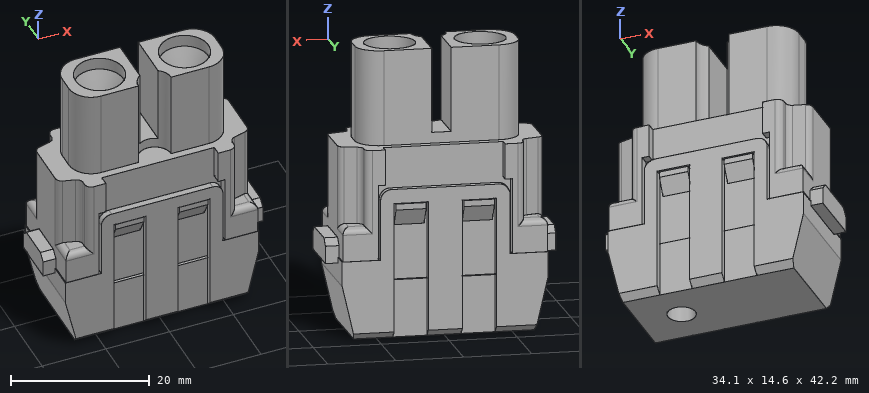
import cadquery as cq
import math

HEIGHT = 42.15
TAB_SPAN = 34.1
BASE_DEPTH = 14.6
FRONT_Y = -BASE_DEPTH / 2
EDGE = 1.0

BASE_TOP = 11.75
TAPER_TOP = 8.15
BASE_HALF_X = 15.17
FOOT_HALF_X = 13.28

BODY_HALF_X = 15.05
BODY_HALF_Y = 7.25
BODY_TOP = 28.07
LEDGE_Z = 16.75
NOTCH_X = 11.7
NOTCH_SLOPE = math.radians(15)
SIDE_FLAT_HALF = 3.3

TOWER_LENGTH = 24.03
TOWER_WIDTH = 9.3
TOWER_RADIUS = 3.55
TOWER_GAP = 2.82
GAP_FLOOR = 29.67
KEYWAY_DIAMETER = 5.1

BORE_X = 6.65
BORE_DIAMETER = 7.5
CONTACT_DIAMETER = 4.2
BORE_DEPTH = 2.0
CONE_DEPTH = 2.82

RECESS_FLOOR_Y = 5.8
RECESS_BOTTOM = 8.5
RECESS_STEP_Z = 22.85
RECESS_UPPER_WIDTH = 17.6
RECESS_LOWER_WIDTH = 19.73
PLATE_THICKNESS = EDGE
PLATE_WIDTH = 19.05
PLATE_TOP = 22.15
PLATE_RADIUS = 1.6
WINDOW_X = 5.0
WINDOW_WIDTH = 5.0
WINDOW_TOP = 20.05

CATCH_WIDTH = 4.43
CATCH_TOP = 19.95
CATCH_EDGE = 19.05
CATCH_BOTTOM = 16.55
CATCH_REACH = 1.35

TAB_BOTTOM = 10.95
TAB_TOP = 14.55
LEFT_TAB_WIDTH = 7.15
RIGHT_TAB_WIDTH = 8.95


def block(x_min, x_max, y_min, y_max, z_min, z_max):
    size = (x_max - x_min, y_max - y_min, z_max - z_min)
    return cq.Workplane("XY").box(*size, centered=False).translate((x_min, y_min, z_min))


def both_faces(front):
    """Return a front-face feature together with its copy on the back face."""
    return front.union(front.mirror("XZ"))


def make_base():
    profile = [
        (-FOOT_HALF_X, 0),
        (FOOT_HALF_X, 0),
        (BASE_HALF_X, TAPER_TOP),
        (BASE_HALF_X, BASE_TOP),
        (-BASE_HALF_X, BASE_TOP),
        (-BASE_HALF_X, TAPER_TOP),
    ]
    base = cq.Workplane("XZ").polyline(profile).close().extrude(BASE_DEPTH / 2, both=True)
    return base.faces("<Z").edges("|X").chamfer(EDGE)


def make_body_column():
    """Column whose corners are cut by S-shaped notches, built from one quarter."""
    notch_start_y = BODY_HALF_Y - EDGE
    cos_slope = math.cos(NOTCH_SLOPE)
    sin_slope = math.sin(NOTCH_SLOPE)
    cos_half = math.cos(math.pi / 4 - NOTCH_SLOPE / 2)
    sin_half = math.sin(math.pi / 4 - NOTCH_SLOPE / 2)

    side_center_x = BODY_HALF_X - EDGE
    side_end = (side_center_x + EDGE * sin_slope, SIDE_FLAT_HALF + EDGE * cos_slope)
    side_mid = (side_center_x + EDGE * cos_half, SIDE_FLAT_HALF + EDGE * sin_half)

    inner_center_x = NOTCH_X + EDGE
    slope_end_x = inner_center_x - EDGE * sin_slope
    slope_end_y = side_end[1] + (side_end[0] - slope_end_x) * math.tan(NOTCH_SLOPE)
    inner_center_y = slope_end_y + EDGE * cos_slope
    inner_mid = (inner_center_x - EDGE * cos_half, inner_center_y - EDGE * sin_half)

    front_center_x = NOTCH_X - EDGE
    diagonal = EDGE * math.sqrt(0.5)
    quarter = (
        cq.Workplane("XY")
        .workplane(offset=BASE_TOP)
        .lineTo(BODY_HALF_X, 0)
        .lineTo(BODY_HALF_X, SIDE_FLAT_HALF)
        .threePointArc(side_mid, side_end)
        .lineTo(slope_end_x, slope_end_y)
        .threePointArc(inner_mid, (NOTCH_X, inner_center_y))
        .lineTo(NOTCH_X, notch_start_y)
        .threePointArc((front_center_x + diagonal, notch_start_y + diagonal), (front_center_x, BODY_HALF_Y))
        .lineTo(0, BODY_HALF_Y)
        .close()
        .extrude(BODY_TOP - BASE_TOP)
    )
    half = quarter.union(quarter.mirror("YZ"))
    return half.union(half.mirror("XZ"))


def make_ledge():
    """Block under the corner notches, with rounded upper edges."""
    ledge = block(-BODY_HALF_X, BODY_HALF_X, -BODY_HALF_Y, BODY_HALF_Y, BASE_TOP, LEDGE_Z)
    return ledge.faces(">Z").edges().fillet(EDGE)


def make_recess():
    """Stepped recess in the front face, wider below the step."""
    lower_half = RECESS_LOWER_WIDTH / 2
    upper_half = RECESS_UPPER_WIDTH / 2
    lower = block(-lower_half, lower_half, FRONT_Y, -RECESS_FLOOR_Y, BASE_TOP, RECESS_STEP_Z)
    upper = block(-upper_half, upper_half, FRONT_Y, -RECESS_FLOOR_Y, RECESS_STEP_Z, BODY_TOP)
    return lower.union(upper)


def make_plate():
    half = PLATE_WIDTH / 2
    plate = block(-half, half, FRONT_Y, FRONT_Y + PLATE_THICKNESS, BASE_TOP, PLATE_TOP)
    return plate.edges("|Y and >Z").edges("<X or >X").fillet(PLATE_RADIUS)


def make_gap():
    """Space behind a plate, reaching down into the base."""
    half = RECESS_LOWER_WIDTH / 2
    return block(-half, half, FRONT_Y + PLATE_THICKNESS, -RECESS_FLOOR_Y, RECESS_BOTTOM, BASE_TOP)


def make_window(x):
    """Opening through the plate that runs on as a groove to the underside."""
    left = x - WINDOW_WIDTH / 2
    right = x + WINDOW_WIDTH / 2
    return block(left, right, FRONT_Y, FRONT_Y + PLATE_THICKNESS, 0, WINDOW_TOP)


def make_catch(x):
    """Wedge on the recess floor with a sloping underside."""
    tip_y = -RECESS_FLOOR_Y - CATCH_REACH
    profile = [
        (-RECESS_FLOOR_Y, CATCH_BOTTOM),
        (tip_y, CATCH_EDGE),
        (tip_y, CATCH_TOP),
        (-RECESS_FLOOR_Y, CATCH_TOP),
    ]
    wedge = cq.Workplane("YZ").polyline(profile).close().extrude(CATCH_WIDTH / 2, both=True)
    return wedge.translate((x, 0, 0))


def make_towers():
    height = HEIGHT - BODY_TOP
    towers = (
        cq.Workplane("XY")
        .workplane(offset=BODY_TOP)
        .rect(TOWER_LENGTH, TOWER_WIDTH)
        .extrude(height)
        .edges("|Z")
        .fillet(TOWER_RADIUS)
    )
    gap = block(-TOWER_GAP / 2, TOWER_GAP / 2, -TOWER_WIDTH, TOWER_WIDTH, GAP_FLOOR, HEIGHT)
    keyway = (
        cq.Workplane("XY")
        .workplane(offset=BODY_TOP)
        .center(0, -TOWER_WIDTH / 2)
        .circle(KEYWAY_DIAMETER / 2)
        .extrude(height)
    )
    return towers.cut(gap).cut(keyway)


def make_bore(x):
    """Straight counterbore ending in a cone."""
    cone_top = HEIGHT - BORE_DEPTH
    profile = [
        (0, HEIGHT),
        (BORE_DIAMETER / 2, HEIGHT),
        (BORE_DIAMETER / 2, cone_top),
        (CONTACT_DIAMETER / 2, cone_top - CONE_DEPTH),
        (0, cone_top - CONE_DEPTH),
    ]
    bore = cq.Workplane("XZ").polyline(profile).close().revolve(360, (0, 0), (0, 1))
    return bore.translate((x, 0, 0))


def make_tab(x_min, x_max, width):
    tab = block(x_min, x_max, -width / 2, width / 2, TAB_BOTTOM, TAB_TOP)
    return tab.faces(">Z").edges("|X").chamfer(EDGE)


body = make_body_column().union(make_ledge())
body = body.cut(both_faces(make_recess()))
result = body.union(make_base()).union(both_faces(make_plate()))
result = result.cut(both_faces(make_gap()))

for window_x in (-WINDOW_X, WINDOW_X):
    result = result.cut(both_faces(make_window(window_x)))
    result = result.union(both_faces(make_catch(window_x)))

result = result.union(make_tab(-TAB_SPAN / 2, -NOTCH_X, LEFT_TAB_WIDTH))
result = result.union(make_tab(NOTCH_X, TAB_SPAN / 2, RIGHT_TAB_WIDTH))

result = result.union(make_towers())
for bore_x in (-BORE_X, BORE_X):
    result = result.cut(make_bore(bore_x))
through_hole = cq.Workplane("XY").center(-BORE_X, 0).circle(CONTACT_DIAMETER / 2).extrude(HEIGHT)
result = result.cut(through_hole)